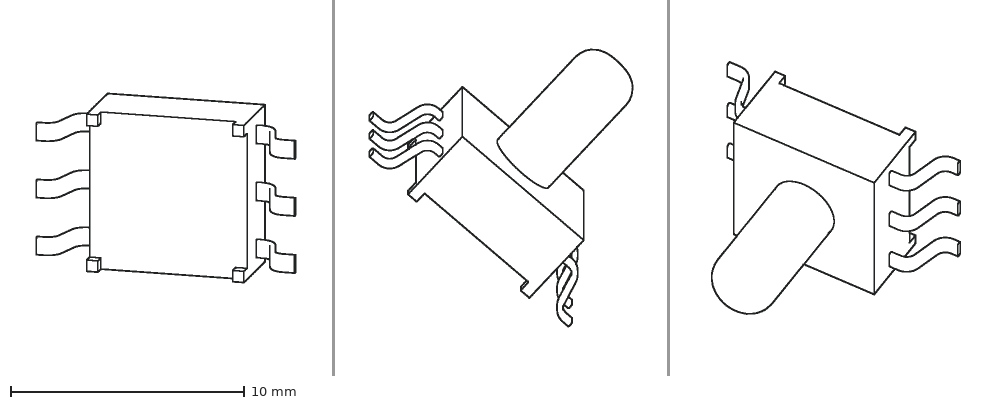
import cadquery as cq
import math

HOUSING_SIDE = 7.0
HOUSING_DEPTH = 3.5
FOOT_SIZE = 0.5

BUTTON_LENGTH = 6.0
BUTTON_DIAMETER = 3.0
BUTTON_TIP_RADIUS = 1.0

OVERALL_WIDTH = 11.47
LEAD_COUNT = 3
LEAD_WIDTH = 0.8
LEAD_ROW_SPAN = 5.88
LEAD_THICKNESS = 0.25
LEAD_EDGE_RADIUS = 0.1
LEAD_TOP = 2.25
LEFT_SHOULDER = 0.45
RIGHT_SHOULDER = 0.24
BEND_INNER_RADIUS = 0.48
BEND_ANGLE = math.radians(75)


def make_housing():
    block = cq.Workplane("XY").box(HOUSING_SIDE, HOUSING_DEPTH - FOOT_SIZE, HOUSING_SIDE)
    block = block.translate((0, (HOUSING_DEPTH + FOOT_SIZE) / 2, 0))
    foot_spacing = HOUSING_SIDE - FOOT_SIZE
    feet = (
        cq.Workplane("XZ")
        .rect(foot_spacing, foot_spacing, forConstruction=True)
        .vertices()
        .rect(FOOT_SIZE, FOOT_SIZE)
        .extrude(-FOOT_SIZE)
    )

    button = (
        cq.Workplane("XZ", origin=(0, HOUSING_DEPTH, 0))
        .circle(BUTTON_DIAMETER / 2)
        .extrude(-BUTTON_LENGTH)
        .faces(">Y")
        .edges()
        .fillet(BUTTON_TIP_RADIUS)
    )
    return block.union(feet).union(button)


def make_lead(shoulder_length):
    """One lead at z = 0 on the +X side, swept from the housing wall out to its toe."""
    radius = BEND_INNER_RADIUS + LEAD_THICKNESS / 2
    bend_run = radius * math.sin(BEND_ANGLE)
    bend_drop = radius * (1 - math.cos(BEND_ANGLE))
    half_run = radius * math.sin(BEND_ANGLE / 2)
    half_drop = radius * (1 - math.cos(BEND_ANGLE / 2))

    start_x = HOUSING_SIDE / 2
    shoulder_y = LEAD_TOP - LEAD_THICKNESS / 2
    toe_y = LEAD_THICKNESS / 2
    slope_drop = shoulder_y - toe_y - 2 * bend_drop
    slope_run = slope_drop / math.tan(BEND_ANGLE)

    upper_x = start_x + shoulder_length
    lower_x = upper_x + 2 * bend_run + slope_run

    centerline = (
        cq.Workplane("XY")
        .moveTo(start_x, shoulder_y)
        .lineTo(upper_x, shoulder_y)
        .threePointArc(
            (upper_x + half_run, shoulder_y - half_drop),
            (upper_x + bend_run, shoulder_y - bend_drop),
        )
        .lineTo(lower_x - bend_run, toe_y + bend_drop)
        .threePointArc((lower_x - half_run, toe_y + half_drop), (lower_x, toe_y))
        .lineTo(OVERALL_WIDTH / 2, toe_y)
    )
    section = cq.Sketch().rect(LEAD_THICKNESS, LEAD_WIDTH).vertices().fillet(LEAD_EDGE_RADIUS)
    return (
        cq.Workplane("YZ", origin=(start_x, shoulder_y, 0))
        .placeSketch(section)
        .sweep(centerline)
    )


def make_leads():
    left_lead = make_lead(LEFT_SHOULDER).mirror("YZ")
    right_lead = make_lead(RIGHT_SHOULDER)
    pitch = (LEAD_ROW_SPAN - LEAD_WIDTH) / (LEAD_COUNT - 1)
    leads = cq.Workplane("XY")
    for row in range(LEAD_COUNT):
        z = (row - (LEAD_COUNT - 1) / 2) * pitch
        for lead in (left_lead, right_lead):
            leads.add(lead.translate((0, 0, z)))
    return leads


housing = make_housing()
leads = make_leads()

result = cq.Compound.makeCompound([housing.solids().val(), *leads.vals()])